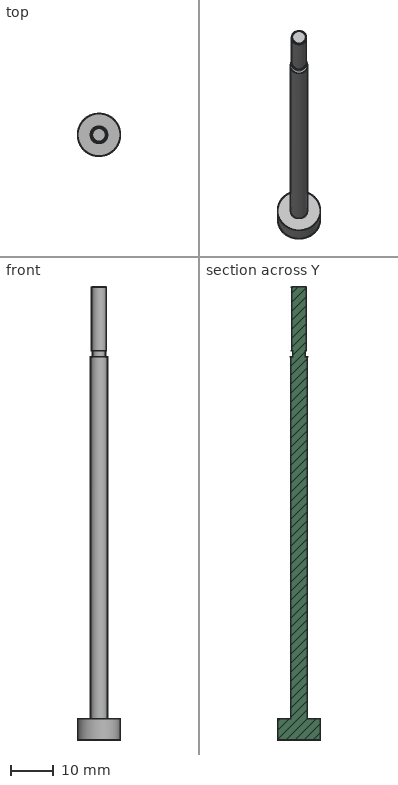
import cadquery as cq

total_length = 105.8
head_diameter = 10.0
head_height = 5.0
shaft_diameter = 4.0
tip_diameter = 3.5
tip_length = 15.0
tip_chamfer = 0.2
neck_diameter = 3.1
neck_length = 1.4
neck_fillet = 0.2

head_radius = head_diameter / 2
shaft_radius = shaft_diameter / 2
tip_radius = tip_diameter / 2
neck_radius = neck_diameter / 2
tip_base = total_length - tip_length
shoulder = tip_base - neck_length


def make_pin():
    """Revolve the half section (radius, height) about the Z axis."""
    half_section = (
        cq.Workplane("XZ")
        .lineTo(head_radius, 0)
        .lineTo(head_radius, head_height)
        .lineTo(shaft_radius, head_height)
        .lineTo(shaft_radius, shoulder)
        .lineTo(neck_radius + neck_fillet, shoulder)
        .radiusArc((neck_radius, shoulder + neck_fillet), neck_fillet)
        .lineTo(neck_radius, tip_base)
        .lineTo(tip_radius, tip_base)
        .lineTo(tip_radius, total_length - tip_chamfer)
        .lineTo(tip_radius - tip_chamfer, total_length)
        .lineTo(0, total_length)
        .close()
    )
    return half_section.revolve(360, (0, 0, 0), (0, 1, 0))


result = make_pin()